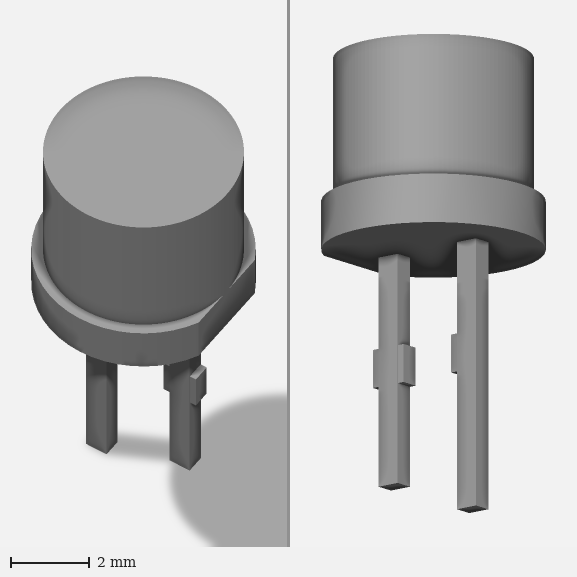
import cadquery as cq

flange_height = 1.27
body_height = 5.0
overall_height = 12
long_lead_length = overall_height - body_height
lead_step = 1.0
short_lead_length = long_lead_length - lead_step

flange_diameter = 5.7
cap_diameter = 5.1
cap_sides = 126

lead_spacing = 2.55
lead_width = 0.62
lead_thickness = 0.5

stop_size = 1.0
stop_drop = 2.39
stop_face_inset = 0.006
stop_end_inset = 0.018

long_lead_x = -lead_spacing / 2
short_lead_x = lead_spacing / 2


def block(x_start, x_end, thickness, z_top, height):
    """A box between two X positions, centred on Y = 0 and hanging down from z_top."""
    return (
        cq.Workplane("XY", origin=((x_start + x_end) / 2, 0, z_top))
        .rect(x_end - x_start, thickness)
        .extrude(-height)
    )


def make_flange():
    """Disc with a flat on its +X side, level with the cap."""
    disc = cq.Workplane("XY").circle(flange_diameter / 2).extrude(flange_height)
    flat_x = cap_diameter / 2
    beyond_flat = (
        cq.Workplane("XY", origin=(flat_x + flange_diameter / 2, 0, 0))
        .rect(flange_diameter, flange_diameter)
        .extrude(flange_height)
    )
    return disc.cut(beyond_flat)


def make_cap():
    """Many-sided prism standing on the flange."""
    return (
        cq.Workplane("XY", origin=(0, 0, flange_height))
        .polygon(cap_sides, cap_diameter)
        .extrude(body_height - flange_height)
    )


def make_stop(x_start, x_end):
    """Cross piece, slightly thinner than the lead it sits in."""
    stop_thickness = lead_thickness - 2 * stop_face_inset
    return block(x_start, x_end, stop_thickness, -stop_drop, stop_size)


def make_lead(x, length, stop):
    """Straight bar hanging from the flange, with a slot that fits its stop."""
    bar = block(x - lead_width / 2, x + lead_width / 2, lead_thickness, 0, length)
    return bar.cut(stop)


flange = make_flange()
cap = make_cap()

long_lead_stop = make_stop(
    long_lead_x - lead_width / 2 + stop_end_inset,
    long_lead_x + stop_size / 2,
)
short_lead_stop = make_stop(
    short_lead_x - stop_size / 2,
    short_lead_x + stop_size / 2,
)

long_lead = make_lead(long_lead_x, long_lead_length, long_lead_stop)
short_lead = make_lead(short_lead_x, short_lead_length, short_lead_stop)

result = cq.Compound.makeCompound([
    flange.val(),
    cap.val(),
    long_lead.val(),
    short_lead.val(),
    long_lead_stop.val(),
    short_lead_stop.val(),
])